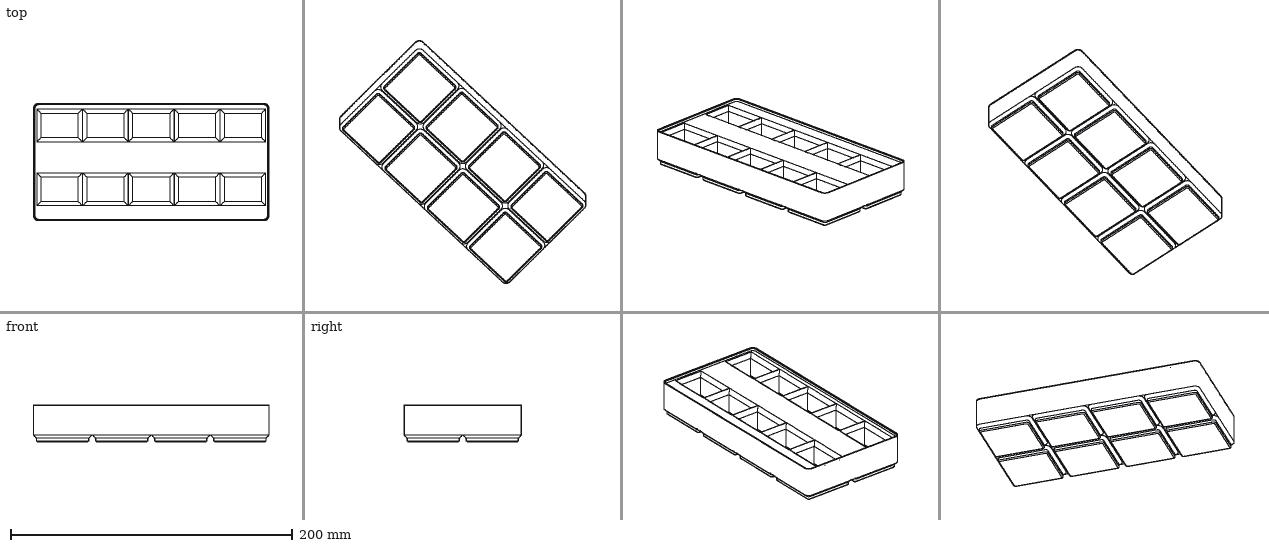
import cadquery as cq

GRID_PITCH = 42.0
CELLS_X = 4
CELLS_Y = 2
FIT_GAP = 0.5
LENGTH = CELLS_X * GRID_PITCH - FIT_GAP
WIDTH = CELLS_Y * GRID_PITCH - FIT_GAP
HEIGHT = 26.14
CORNER_RADIUS = 3.75

FOOT_SIZE = GRID_PITCH - FIT_GAP
FOOT_LOWER_CHAMFER = 0.8
FOOT_BAND = 1.8
FOOT_UPPER_CHAMFER = 2.15
FOOT_HEIGHT = FOOT_LOWER_CHAMFER + FOOT_BAND + FOOT_UPPER_CHAMFER

RIM_THICKNESS = 1.0
RIM_HEIGHT = 1.94
RIM_CHAMFER = 0.3
TOP_FACE_Z = HEIGHT - RIM_HEIGHT

POCKETS_PER_ROW = 5
SIDE_WALL = 2.35
POCKET_PITCH = (LENGTH - 2 * SIDE_WALL) / POCKETS_PER_ROW
POCKET_GAP = 0.25
POCKET_LENGTH = POCKET_PITCH - POCKET_GAP
POCKET_WIDTH = 23.2
POCKET_BEVEL = 2.94
POCKET_DEPTH = 17.0
ROW_CENTERS_Y = (-19.4, 26.0)


def rounded_block(length, width, height, radius):
    """Upright block centred on Z, standing on Z = 0, with rounded vertical edges."""
    block = cq.Workplane("XY").box(length, width, height, centered=(True, True, False))
    return block.edges("|Z").fillet(radius)


def tapered_block(length, width, radius, inset, height):
    """Block on Z = 0 with the given rounded top outline, shrunk by `inset` per side at the bottom."""
    top = cq.Sketch().rect(length, width).vertices().fillet(radius)
    bottom = cq.Sketch().rect(length - 2 * inset, width - 2 * inset).vertices().fillet(radius - inset)
    return cq.Workplane("XY").placeSketch(bottom, top.moved(cq.Location(cq.Vector(0, 0, height)))).loft()


def make_foot():
    """Foot standing on Z = 0: a lower chamfer, a straight band and a flare out to the full cell."""
    band_size = FOOT_SIZE - 2 * FOOT_UPPER_CHAMFER
    band_radius = CORNER_RADIUS - FOOT_UPPER_CHAMFER
    base = tapered_block(band_size, band_size, band_radius, FOOT_LOWER_CHAMFER, FOOT_LOWER_CHAMFER)
    band = rounded_block(band_size, band_size, FOOT_BAND, band_radius)
    flare = tapered_block(FOOT_SIZE, FOOT_SIZE, CORNER_RADIUS, FOOT_UPPER_CHAMFER, FOOT_UPPER_CHAMFER)
    foot = base.union(band.translate((0, 0, FOOT_LOWER_CHAMFER)))
    return foot.union(flare.translate((0, 0, FOOT_LOWER_CHAMFER + FOOT_BAND)))


def make_body():
    """Plain outer block above the feet."""
    body = rounded_block(LENGTH, WIDTH, HEIGHT - FOOT_HEIGHT, CORNER_RADIUS)
    return body.translate((0, 0, FOOT_HEIGHT))


def make_rim_recess():
    """Cutter that leaves the upright rim, chamfered along its inner top edge."""
    recess = rounded_block(
        LENGTH - 2 * RIM_THICKNESS,
        WIDTH - 2 * RIM_THICKNESS,
        RIM_HEIGHT,
        CORNER_RADIUS - RIM_THICKNESS,
    )
    bevel = tapered_block(
        LENGTH - 2 * (RIM_THICKNESS - RIM_CHAMFER),
        WIDTH - 2 * (RIM_THICKNESS - RIM_CHAMFER),
        CORNER_RADIUS - RIM_THICKNESS + RIM_CHAMFER,
        RIM_CHAMFER,
        RIM_CHAMFER,
    )
    recess = recess.union(bevel.translate((0, 0, RIM_HEIGHT - RIM_CHAMFER)))
    return recess.translate((0, 0, TOP_FACE_Z))


def make_pocket():
    """Pocket cutter with its mouth at the recessed top face."""
    shaft_length = POCKET_LENGTH - 2 * POCKET_BEVEL
    shaft_width = POCKET_WIDTH - 2 * POCKET_BEVEL
    shaft = cq.Workplane("XY").rect(shaft_length, shaft_width).extrude(POCKET_DEPTH)
    mouth = (
        cq.Workplane("XY", origin=(0, 0, POCKET_DEPTH - POCKET_BEVEL))
        .rect(shaft_length, shaft_width)
        .workplane(offset=POCKET_BEVEL)
        .rect(POCKET_LENGTH, POCKET_WIDTH)
        .loft(ruled=True)
    )
    return shaft.union(mouth).translate((0, 0, TOP_FACE_Z - POCKET_DEPTH))


def centered_positions(count, pitch):
    """Evenly spaced coordinates centred on zero."""
    return [(index - (count - 1) / 2) * pitch for index in range(count)]


result = make_body()

foot = make_foot()
for x in centered_positions(CELLS_X, GRID_PITCH):
    for y in centered_positions(CELLS_Y, GRID_PITCH):
        result = result.union(foot.translate((x, y, 0)))

result = result.cut(make_rim_recess())

pocket = make_pocket()
for x in centered_positions(POCKETS_PER_ROW, POCKET_PITCH):
    for y in ROW_CENTERS_Y:
        result = result.cut(pocket.translate((x, y, 0)))